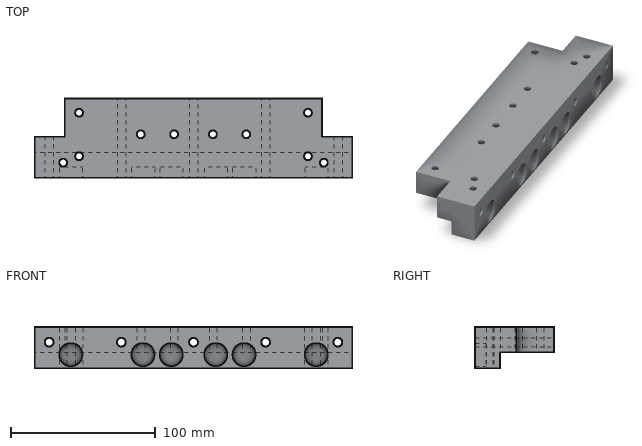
import cadquery as cq

length = 220.0
depth = 55.0
height = 28.5

ear_depth = 28.5
rear_length = 178.2
leg_depth = 17.5
plate_thickness = 17.5

bore_diameter = 16.0
bore_depth = 7.7
bore_height = 9.5
bore_positions = (-85.0, -35.0, -15.5, 15.5, 35.0, 85.0)
screw_diameter = 6.0
screw_height = 18.0
screw_pitch = 50.0
screw_count = 5

pin_diameter = 5.3
corner_spacing = 158.5
corner_front = 15.0
corner_rear = 45.0
ear_hole_spacing = 180.5
ear_hole_front = 10.5
center_hole_front = 30.1
center_hole_positions = (-36.5, -13.5, 13.5, 36.5)


def block(size_x, size_y, bottom, top):
    """Block centred on X, starting at the front face y = 0."""
    return (
        cq.Workplane("XY")
        .box(size_x, size_y, top - bottom, centered=(True, False, False))
        .translate((0, 0, bottom))
    )


def front_holes(positions, level, diameter, hole_depth):
    """Cylinders running rearward from the front face."""
    return (
        cq.Workplane("XZ")
        .pushPoints([(x, level) for x in positions])
        .circle(diameter / 2)
        .extrude(-hole_depth)
    )


plate_bottom = height - plate_thickness
body = block(length, leg_depth, 0, height)
body = body.union(block(length, ear_depth, plate_bottom, height))
body = body.union(block(rear_length, depth, plate_bottom, height))

screw_positions = [(i - (screw_count - 1) / 2) * screw_pitch for i in range(screw_count)]
body = body.cut(front_holes(bore_positions, bore_height, bore_diameter, bore_depth))
body = body.cut(front_holes(screw_positions, screw_height, screw_diameter, depth))

pin_points = [(x, center_hole_front) for x in center_hole_positions]
for side in (-1, 1):
    pin_points.append((side * corner_spacing / 2, corner_front))
    pin_points.append((side * corner_spacing / 2, corner_rear))
    pin_points.append((side * ear_hole_spacing / 2, ear_hole_front))
pins = cq.Workplane("XY").pushPoints(pin_points).circle(pin_diameter / 2).extrude(height)

result = body.cut(pins)